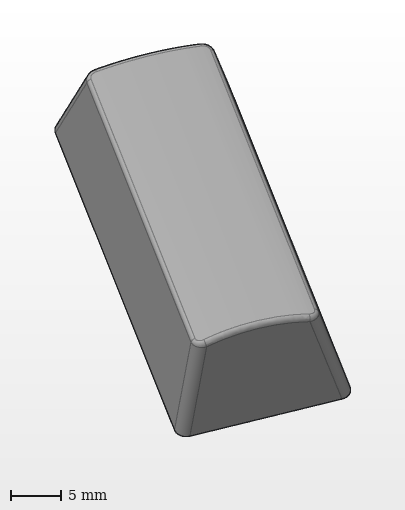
import cadquery as cq

length = 42.1
width = 18.3
height = 11.4

wall_taper = 14.0
roof_radius = 21.7
corner_radius = 1.25
rim_radius = 0.65


def tapered_block():
    """Solid block whose four walls lean inward, with rounded corner edges."""
    block = cq.Workplane("XY").rect(length, width).extrude(height, taper=wall_taper)
    sloping_edges = block.edges("not(#Z)")
    return sloping_edges.fillet(corner_radius)


def roof_cylinder():
    """Cylinder along X whose topmost line lies at the full height."""
    return (
        cq.Workplane("YZ")
        .center(0, height - roof_radius)
        .circle(roof_radius)
        .extrude(length / 2, both=True)
    )


crowned_block = tapered_block().intersect(roof_cylinder())
result = crowned_block.faces(">Z").edges().fillet(rim_radius)